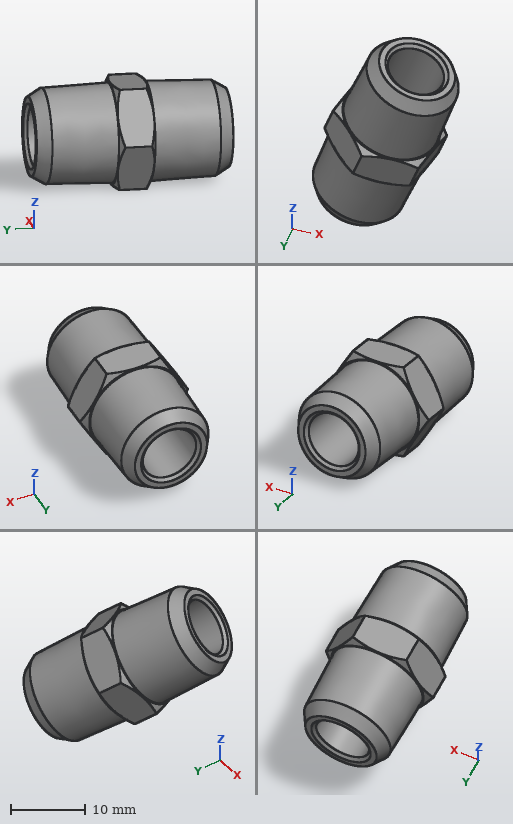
import cadquery as cq
import math

total_length = 27
hex_across_flats = 14.0
hex_width = 5.0
hex_chamfer_angle = 30
hex_face_diameter = 13.9

root_diameter = 13.64
tip_diameter = 13.07
end_diameter = 10.8
end_chamfer_length = 1.92

bore_diameter = 8.0
mouth_diameter = 8.96

half_length = total_length / 2
half_hex = hex_width / 2
hex_corner_diameter = hex_across_flats / math.cos(math.radians(30))
mouth_depth = (mouth_diameter - bore_diameter) / 2
envelope_clearance = 0.27


def revolve_about_y(points):
    """Revolve a closed (radius, y) profile around the Y axis."""
    return cq.Workplane("XY").polyline(points).close().revolve(360, (0, 0, 0), (0, 1, 0))


def make_hex():
    """Hexagon with corners on the X axis, both ends chamfered by a cone."""
    prism = (
        cq.Workplane("XZ")
        .polygon(6, hex_corner_diameter)
        .extrude(half_hex, both=True)
    )
    face_radius = hex_face_diameter / 2
    envelope_radius = hex_corner_diameter / 2 + envelope_clearance
    drop = (envelope_radius - face_radius) * math.tan(math.radians(hex_chamfer_angle))
    envelope = revolve_about_y([
        (0, -half_hex),
        (face_radius, -half_hex),
        (envelope_radius, drop - half_hex),
        (envelope_radius, half_hex - drop),
        (face_radius, half_hex),
        (0, half_hex),
    ])
    return prism.intersect(envelope)


def make_spigot():
    """Tapered spigot on the +Y side, reaching back to the middle of the hex."""
    return revolve_about_y([
        (0, 0),
        (root_diameter / 2, 0),
        (root_diameter / 2, half_hex),
        (tip_diameter / 2, half_length - end_chamfer_length),
        (end_diameter / 2, half_length),
        (0, half_length),
    ])


def make_bore():
    """Through bore with a 45 degree chamfer at each mouth."""
    return revolve_about_y([
        (0, -half_length),
        (mouth_diameter / 2, -half_length),
        (bore_diameter / 2, mouth_depth - half_length),
        (bore_diameter / 2, half_length - mouth_depth),
        (mouth_diameter / 2, half_length),
        (0, half_length),
    ])


spigot = make_spigot()
result = make_hex().union(spigot).union(spigot.mirror("XZ")).cut(make_bore())